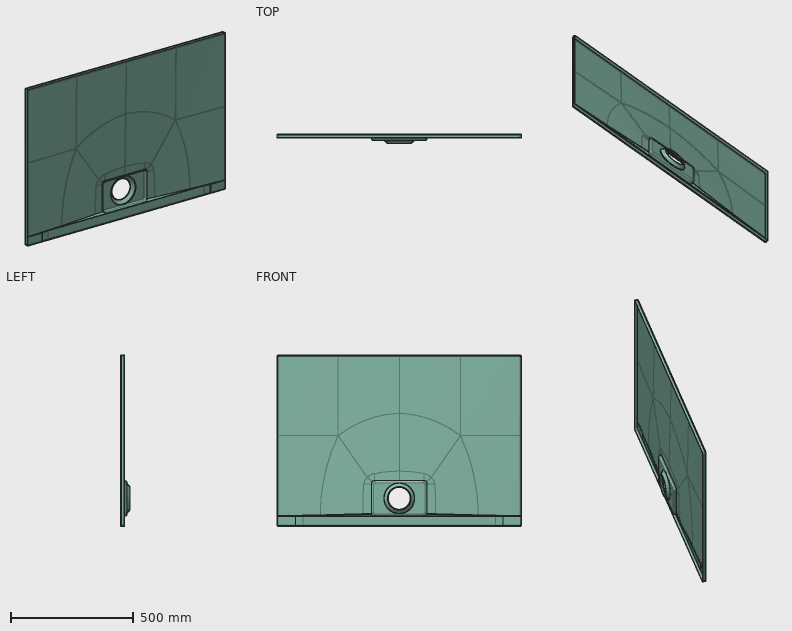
import cadquery as cq
import math

LENGTH = 1000.0
WIDTH = 700.0
RIM_DEPTH = 16.0
TOTAL_DEPTH = 40.0
SHEET = 4.0
RIM_WALL = 3.0
CORNER_RADIUS = 8.0
UPPER_EDGE_RADIUS = 5.5

FLOOR_INSET = 6.0
BOX_EDGE_FALL = 11.5
LEVEL_FALL = 10.0
RIDGE_FALL = 4.5
CREST_FALL = 5.0
FOOT_FALL = 4.0
STEP_TOP = -310.0
STEP_SLOPE = 0.8
RIDGE = (250.0, 21.0)
CREST_Z = 113.0
FOOT_X = 323.0
UPPER_BULGE = (11.0, 18.0)
SIDE_BULGE = (16.0, 11.0)

STRIP_HALF_LENGTH = 393.0
STRIP_RAMP = 30.0
STRIP_FALL = 2.0
STRIP_OVERLAP = 4.0
STRIP_END_FALL = 0.1

BOX_HALF_WIDTH = 114.0
BOX_TOP_Z = -163.0
BOX_BOTTOM_Z = -308.0
BOX_DEPTH = 27.0
BOX_START_Y = -2.0
BOX_CORNER_RADIUS = 12.5
BOX_EDGE_RADIUS = 9.0
OUTLET_Z = -235.0
OUTLET_BASE_RADIUS = 66.0
OUTLET_TIP_RADIUS = 48.0
OUTLET_WALL = 3.0

APRON_TOP_Z = -124.0
APRON_SHOULDER = (BOX_HALF_WIDTH - BOX_CORNER_RADIUS, -134.0)
APRON_CORNER = (129.5, -151.0)
APRON_SIDE = (145.0, BOX_TOP_Z - BOX_CORNER_RADIUS)
APRON_FOOT_X = 149.0
APRON_BULGES = [(0.0, 2.5), (2.5, 2.5), (2.5, 1.5), (1.5, 0.0)]

FLOOR_X = LENGTH / 2 - FLOOR_INSET
FLOOR_Z = WIDTH / 2 - FLOOR_INSET
INNER_X = LENGTH / 2 - RIM_WALL
INNER_Z = WIDTH / 2 - RIM_WALL


def slab(x_size, z_min, z_max, y_start, y_end):
    """Block centred on X = 0, reaching from y_start down to y_end."""
    return (
        cq.Workplane("XY")
        .box(x_size, y_start - y_end, z_max - z_min)
        .translate((0, (y_start + y_end) / 2, (z_min + z_max) / 2))
    )


def line(start, end):
    return cq.Edge.makeLine(start, end)


def polygon_face(points):
    closed = points + points[:1]
    edges = [line(a, b) for a, b in zip(closed, closed[1:])]
    return cq.Face.makeFromWires(cq.Wire.assembleEdges(edges))


def floor_half_faces(step_top):
    """Faces around the +X half of the space between Y = 0 and the sloping floor, open at X = 0."""

    def point(x, z, fall=0.0):
        return cq.Vector(x, -fall, z)

    def on_step(x, fall):
        return point(x, step_top + STEP_SLOPE * fall, fall)

    def bow(start, end, bulge):
        middle = (start + end) / 2 + cq.Vector(bulge[0], 0, bulge[1])
        return cq.Edge.makeThreePointArc(start, middle, end)

    rim_mid = point(0, FLOOR_Z)
    rim_bend = point(RIDGE[0], FLOOR_Z)
    rim_corner = point(FLOOR_X, FLOOR_Z)
    rim_side = point(FLOOR_X, RIDGE[1])
    step_end = on_step(FLOOR_X, 0)
    step_mid = on_step(0, 0)

    crest = point(0, CREST_Z, CREST_FALL)
    ridge = point(*RIDGE, RIDGE_FALL)
    foot = on_step(FOOT_X, FOOT_FALL)
    upper_bend = bow(crest, ridge, UPPER_BULGE)
    side_bend = bow(ridge, foot, SIDE_BULGE)
    to_rim = line(ridge, rim_bend)
    to_side = line(ridge, rim_side)

    corner_offset = BOX_CORNER_RADIUS * (1 - math.sqrt(0.5))
    outer = [
        point(0, APRON_TOP_Z, LEVEL_FALL),
        point(*APRON_SHOULDER, LEVEL_FALL),
        point(*APRON_CORNER, LEVEL_FALL),
        point(*APRON_SIDE, LEVEL_FALL),
        on_step(APRON_FOOT_X, LEVEL_FALL),
    ]
    inner = [
        point(0, BOX_TOP_Z, BOX_EDGE_FALL),
        point(BOX_HALF_WIDTH - BOX_CORNER_RADIUS, BOX_TOP_Z, BOX_EDGE_FALL),
        point(BOX_HALF_WIDTH - corner_offset, BOX_TOP_Z - corner_offset, BOX_EDGE_FALL),
        point(BOX_HALF_WIDTH, BOX_TOP_Z - BOX_CORNER_RADIUS, BOX_EDGE_FALL),
        on_step(BOX_HALF_WIDTH, BOX_EDGE_FALL),
    ]
    box_mid = on_step(0, BOX_EDGE_FALL)
    outer_edges = [bow(a, b, bulge) for a, b, bulge in zip(outer, outer[1:], APRON_BULGES)]
    inner_edges = [line(a, b) for a, b in zip(inner, inner[1:])]
    spokes = [line(a, b) for a, b in zip(outer, inner)]
    apron_corner, apron_foot = outer[2], outer[4]
    to_apron = line(ridge, apron_corner)

    patches = [
        [line(rim_mid, rim_bend), to_rim, upper_bend, line(rim_mid, crest)],
        [line(rim_bend, rim_corner), line(rim_corner, rim_side), to_side, to_rim],
        [line(rim_side, step_end), line(step_end, foot), side_bend, to_side],
        [upper_bend, to_apron, outer_edges[1], outer_edges[0], line(crest, outer[0])],
        [side_bend, line(foot, apron_foot), outer_edges[3], outer_edges[2], to_apron],
    ]
    for i in range(len(outer_edges)):
        patches.append([outer_edges[i], spokes[i + 1], inner_edges[i], spokes[i]])
    faces = [cq.Face.makeNSidedSurface(edges, []) for edges in patches]

    flat_faces = [
        inner + [box_mid],
        [step_end, foot, apron_foot, inner[4], box_mid, step_mid],
        [rim_mid, rim_bend, rim_corner, rim_side, step_end, step_mid],
    ]
    faces += [polygon_face(points) for points in flat_faces]
    return faces


def strip_wedge(step_top):
    """Space taken up by the tilted strip, fading out along a ramp at each end."""
    z_top = step_top + STRIP_OVERLAP
    stations = [
        (-STRIP_HALF_LENGTH - STRIP_RAMP, STRIP_END_FALL),
        (-STRIP_HALF_LENGTH, STRIP_FALL),
        (STRIP_HALF_LENGTH, STRIP_FALL),
        (STRIP_HALF_LENGTH + STRIP_RAMP, STRIP_END_FALL),
    ]
    wires = []
    for x, fall in stations:
        corners = [cq.Vector(x, 0, -FLOOR_Z), cq.Vector(x, 0, z_top), cq.Vector(x, -fall, z_top)]
        wires.append(cq.Wire.makePolygon(corners, close=True))
    return cq.Workplane(obj=cq.Solid.makeLoft(wires, True))


def floor_space(step_top):
    """Whole space between Y = 0 and the floor."""
    half = floor_half_faces(step_top)
    mirrored_half = [face.mirror("YZ") for face in half]
    shell = cq.Shell.makeShell(half + mirrored_half)
    return cq.Workplane(obj=cq.Solid.makeSolid(shell)).union(strip_wedge(step_top))


def rim_block():
    """Flat block with rounded corners and a rounded upper edge."""
    block = slab(LENGTH, -WIDTH / 2, WIDTH / 2, 0, -RIM_DEPTH)
    return block.edges("|Y").fillet(CORNER_RADIUS).faces(">Y").edges().fillet(UPPER_EDGE_RADIUS)


def drain_box(inset):
    """Rounded drain box, reduced on every side by the inset."""
    half_width = BOX_HALF_WIDTH - inset
    z_min = BOX_BOTTOM_Z + inset
    z_max = BOX_TOP_Z - inset
    box = slab(2 * half_width, z_min, z_max, BOX_START_Y, inset - BOX_DEPTH)
    box = box.edges("|Y").fillet(BOX_CORNER_RADIUS)
    return box.faces("<Y").edges().fillet(BOX_EDGE_RADIUS - inset)


def outlet_cone(inset):
    """Tapered outlet through the drain box floor, reduced in radius by the inset."""
    axis_plane = cq.Plane(origin=(0, SHEET - BOX_DEPTH, OUTLET_Z), xDir=(1, 0, 0), normal=(0, -1, 0))
    return (
        cq.Workplane(axis_plane)
        .circle(OUTLET_BASE_RADIUS - inset)
        .workplane(offset=TOTAL_DEPTH - BOX_DEPTH + SHEET)
        .circle(OUTLET_TIP_RADIUS - inset)
        .loft(ruled=True)
    )


def underside_space():
    """Space inside the rim, below the underside of the floor."""
    space = slab(2 * INNER_X, -INNER_Z, INNER_Z, -SHEET, -RIM_DEPTH)
    space = space.edges("|Y").fillet(CORNER_RADIUS - RIM_WALL)
    return space.cut(floor_space(STEP_TOP).translate((0, -SHEET, 0)))


tray = rim_block().cut(underside_space())
tray = tray.union(drain_box(0)).union(outlet_cone(0))
tray = tray.cut(floor_space(STEP_TOP + SHEET))
result = tray.cut(drain_box(SHEET)).cut(outlet_cone(OUTLET_WALL))